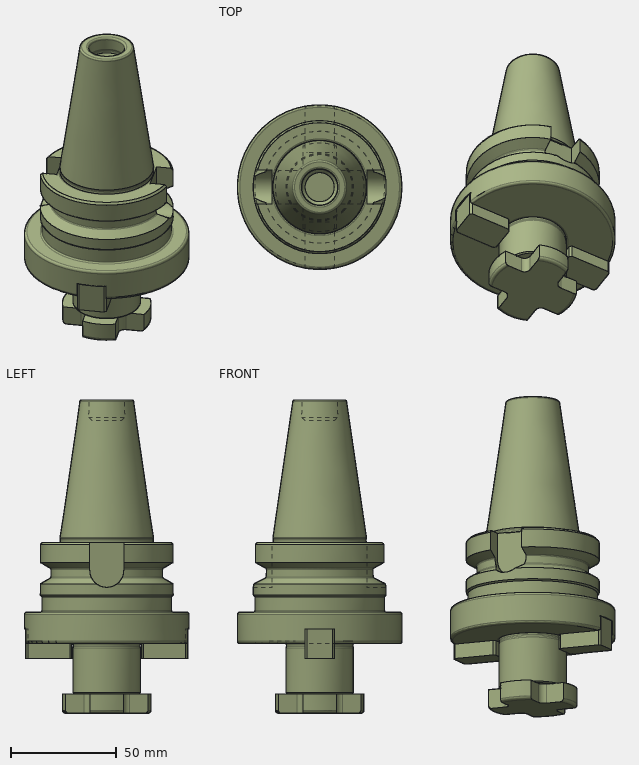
import cadquery as cq
import math


TAPER_RATIO = 7 / 24
TOTAL_LENGTH = 148.4
GAUGE_RADIUS = 44.45 / 2
TAPER_LENGTH = 65.4
TAPER_TOP_RADIUS = GAUGE_RADIUS - TAPER_LENGTH * TAPER_RATIO / 2
TAPER_TOP_ROUND = 0.9

MOUTH_ROUND = 1.0
BORE_RADIUS = 8.5
BORE_DEPTH = 8.2
HOLE_FLOOR_RADIUS = 6.9
HOLE_DEPTH = BORE_DEPTH + BORE_RADIUS - HOLE_FLOOR_RADIUS

FLANGE_TOP = -2.0
FLANGE_RADIUS = 63.0 / 2
FLANGE_CHAMFER = 1.0
FLANGE_BOTTOM = -27.8
GROOVE_MIDDLE = -16.6
GROOVE_FLOOR_RADIUS = 53.0 / 2
GROOVE_FLOOR_WIDTH = 4.3
GROOVE_CORNER_FILLET = 0.6
GROOVE_HALF_ANGLE = 30.0

SLOT_WIDTH = 16.1
SLOT_FLOOR_X = 22.5
SLOT_BOTTOM = -23.3

BODY_RADIUS = 61.5 / 2
BODY_FILLET = 0.7
COLLAR_TOP = -35.0
COLLAR_BOTTOM = -50.0
COLLAR_RADIUS = 78.0 / 2
COLLAR_ROUND = 1.2

SPIGOT_RADIUS = 32.0 / 2
SPIGOT_BOTTOM = -73.8
SPIGOT_CHAMFER = 0.6

RELIEF_WIDTH = 2.0
RELIEF_SLOPE_WIDTH = RELIEF_WIDTH / 3
RELIEF_DEPTH = 0.2
RELIEF_SHOULDER_WIDTH = 0.7

KEY_WIDTH = 14.0
KEY_TOP = -43.0
KEY_BOTTOM = -57.0
KEY_OUTER_Y = 38.35
KEY_INNER_Y = 16.5
KEY_CHAMFER = 1.0

HEAD_RADIUS = 42.0 / 2
HEAD_BOTTOM = TAPER_LENGTH - TOTAL_LENGTH
HEAD_ROUND = 1.5
HEAD_ARM_WIDTH = 15.7
HEAD_CORNER_FILLET = 3.0


def disc(radius, bottom, top):
    return cq.Workplane("XY").workplane(offset=bottom).circle(radius).extrude(top - bottom)


def revolved(profile):
    """Turns a closed half-profile of (radius, z) about the Z axis."""
    return profile.revolve(360, (0, 0), (0, 1))


def revolved_polygon(points):
    return revolved(cq.Workplane("XZ").polyline(points).close())


def taper():
    profile = [
        (0, 0),
        (GAUGE_RADIUS, 0),
        (TAPER_TOP_RADIUS, TAPER_LENGTH),
        (0, TAPER_LENGTH),
    ]
    cone = revolved_polygon(profile)
    return cone.faces(">Z").edges().fillet(TAPER_TOP_ROUND)


def draw_bolt_hole():
    bore_bottom = TAPER_LENGTH - BORE_DEPTH
    profile = (
        cq.Workplane("XZ")
        .moveTo(0, TAPER_LENGTH)
        .lineTo(BORE_RADIUS + MOUTH_ROUND, TAPER_LENGTH)
        .radiusArc((BORE_RADIUS, TAPER_LENGTH - MOUTH_ROUND), -MOUTH_ROUND)
        .lineTo(BORE_RADIUS, bore_bottom + RELIEF_WIDTH)
        .lineTo(BORE_RADIUS + RELIEF_DEPTH, bore_bottom + RELIEF_WIDTH - RELIEF_SLOPE_WIDTH)
        .lineTo(BORE_RADIUS + RELIEF_DEPTH, bore_bottom + RELIEF_SLOPE_WIDTH)
        .lineTo(BORE_RADIUS, bore_bottom)
        .lineTo(HOLE_FLOOR_RADIUS, TAPER_LENGTH - HOLE_DEPTH)
        .lineTo(0, TAPER_LENGTH - HOLE_DEPTH)
        .close()
    )
    return revolved(profile)


def corner_relief(radius, shoulder_z, away):
    """Ring cut into both a shaft and its shoulder; away is +1 or -1 along Z, off the shoulder."""
    floor_radius = radius - RELIEF_DEPTH
    profile = [
        (radius, shoulder_z + away * RELIEF_WIDTH),
        (floor_radius, shoulder_z + away * (RELIEF_WIDTH - RELIEF_SLOPE_WIDTH)),
        (floor_radius, shoulder_z + away * RELIEF_SLOPE_WIDTH),
        (radius, shoulder_z - away * RELIEF_DEPTH),
        (radius + RELIEF_SHOULDER_WIDTH, shoulder_z),
        (radius, shoulder_z),
    ]
    return revolved_polygon(profile)


def flange():
    half_floor = GROOVE_FLOOR_WIDTH / 2
    lip_rise = (FLANGE_RADIUS - GROOVE_FLOOR_RADIUS) * math.tan(math.radians(GROOVE_HALF_ANGLE))
    half_mouth = half_floor + lip_rise
    profile = [
        (0, FLANGE_BOTTOM),
        (BODY_RADIUS, FLANGE_BOTTOM),
        (FLANGE_RADIUS, FLANGE_BOTTOM + FLANGE_RADIUS - BODY_RADIUS),
        (FLANGE_RADIUS, GROOVE_MIDDLE - half_mouth),
        (GROOVE_FLOOR_RADIUS, GROOVE_MIDDLE - half_floor),
        (GROOVE_FLOOR_RADIUS, GROOVE_MIDDLE + half_floor),
        (FLANGE_RADIUS, GROOVE_MIDDLE + half_mouth),
        (FLANGE_RADIUS, FLANGE_TOP - FLANGE_CHAMFER),
        (FLANGE_RADIUS - FLANGE_CHAMFER, FLANGE_TOP),
        (0, FLANGE_TOP),
    ]
    solid = revolved_polygon(profile)
    smallest_circles = cq.selectors.RadiusNthSelector(0)
    return solid.edges("%CIRCLE").edges(smallest_circles).fillet(GROOVE_CORNER_FILLET)


def driving_slot(side):
    """Round-bottomed slot, open at the top, on the side given by +1 or -1 along X."""
    half_width = SLOT_WIDTH / 2
    centre_z = SLOT_BOTTOM + half_width
    return (
        cq.Workplane("YZ")
        .workplane(offset=side * SLOT_FLOOR_X)
        .moveTo(half_width, FLANGE_TOP)
        .lineTo(half_width, centre_z)
        .threePointArc((0, SLOT_BOTTOM), (-half_width, centre_z))
        .lineTo(-half_width, FLANGE_TOP)
        .close()
        .extrude(side * (FLANGE_RADIUS - SLOT_FLOOR_X))
    )


def body_and_collar():
    collar = disc(COLLAR_RADIUS, COLLAR_BOTTOM, COLLAR_TOP)
    collar = collar.edges("%CIRCLE").fillet(COLLAR_ROUND)
    shape = collar.union(disc(BODY_RADIUS, COLLAR_TOP, FLANGE_BOTTOM))
    inner_corner = cq.selectors.RadiusNthSelector(0)
    return shape.faces("<Z[-2]").edges(inner_corner).fillet(BODY_FILLET)


def spigot():
    shank = disc(SPIGOT_RADIUS, SPIGOT_BOTTOM, COLLAR_BOTTOM)
    return shank.faces("<Z").edges().chamfer(SPIGOT_CHAMFER)


def drive_key(side):
    """Key with chamfered upright edges, on the side given by +1 or -1 along Y."""
    length = KEY_OUTER_Y - KEY_INNER_Y
    middle_y = side * (KEY_OUTER_Y + KEY_INNER_Y) / 2
    return (
        cq.Workplane("XY", origin=(0, middle_y, KEY_BOTTOM))
        .rect(KEY_WIDTH, length)
        .extrude(KEY_TOP - KEY_BOTTOM)
        .edges("|Z")
        .chamfer(KEY_CHAMFER)
    )


def key_rim_clearance(side):
    """Material of the collar rim that lies outside the key's outer face."""
    depth = COLLAR_RADIUS - KEY_OUTER_Y + KEY_CHAMFER
    middle_y = side * (COLLAR_RADIUS - depth / 2)
    return (
        cq.Workplane("XY", origin=(0, middle_y, COLLAR_BOTTOM))
        .rect(KEY_WIDTH, depth)
        .extrude(KEY_TOP - COLLAR_BOTTOM)
    )


def screw_head():
    height = SPIGOT_BOTTOM - HEAD_BOTTOM
    arm_length = 2 * HEAD_RADIUS
    arms = cq.Workplane("XY")
    for angle in (0, 90):
        arm = cq.Workplane("XY", origin=(0, 0, HEAD_BOTTOM))
        arm = arm.rect(arm_length, HEAD_ARM_WIDTH).extrude(height)
        arms = arms.union(arm.rotate((0, 0, 0), (0, 0, 1), angle))
    reach = HEAD_ARM_WIDTH
    inner_corners = cq.selectors.BoxSelector((-reach, -reach, HEAD_BOTTOM), (reach, reach, SPIGOT_BOTTOM))
    arms = arms.edges("|Z").edges(inner_corners).fillet(HEAD_CORNER_FILLET)
    blank = disc(HEAD_RADIUS, HEAD_BOTTOM, SPIGOT_BOTTOM).faces("<Z").edges().fillet(HEAD_ROUND)
    return blank.intersect(arms)


result = (
    taper()
    .cut(draw_bolt_hole())
    .union(disc(GAUGE_RADIUS, FLANGE_TOP, 0))
    .union(flange())
    .union(body_and_collar())
    .union(spigot())
    .union(screw_head())
    .cut(corner_relief(GAUGE_RADIUS, FLANGE_TOP, 1))
    .cut(corner_relief(SPIGOT_RADIUS, COLLAR_BOTTOM, -1))
)
for direction in (1, -1):
    result = result.cut(driving_slot(direction))
    result = result.cut(key_rim_clearance(direction))
    result = result.union(drive_key(direction))